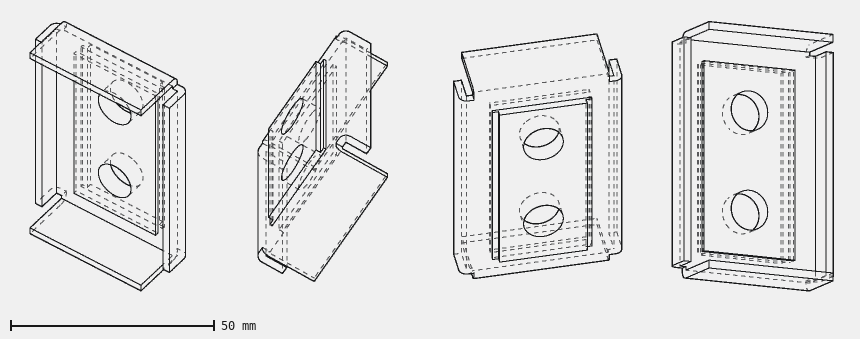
import cadquery as cq

width = 41.0
height = 62.0

thickness = 2.0
bend_radius = thickness
corner_notch = 2.85
side_flange_depth = 8.0
end_flange_depth = 15.0
side_flange_length = height - 2 * corner_notch
end_flange_width = 34.0

pad_width = 25.0
pad_height = 47.8
pad_projection = 2.0
pad_lip = 0.7
pad_front_projection = 1.0
pad_tongue_width = 22.0

hole_diameter = 10.0
hole_spacing = 25.0


def plate(size_x, size_z, back_y, front_y):
    """Centred rectangular block between two Y positions."""
    depth = back_y - front_y
    return cq.Workplane("XY").box(size_x, depth, size_z).translate((0, (back_y + front_y) / 2, 0))


def folded_channel(size_x, size_z, flange_depth, open_along_z):
    """U-channel with sharp inside corners and rounded outer bends."""
    bend_edges = "|Z and >Y" if open_along_z else "|X and >Y"
    outer = plate(size_x, size_z, 0, -flange_depth).edges(bend_edges).fillet(bend_radius)
    cavity_x = size_x - 2 * thickness if open_along_z else size_x
    cavity_z = size_z if open_along_z else size_z - 2 * thickness
    return outer.cut(plate(cavity_x, cavity_z, -thickness, -flange_depth))


def stepped_pad():
    """Block proud of both sheet faces, with a narrower tongue at the back."""
    base = plate(pad_width, pad_height, pad_lip, -thickness - pad_front_projection)
    tongue = plate(pad_tongue_width, pad_height, pad_projection, 0)
    return base.union(tongue)


def hole_cutters():
    """Two cylinders along Y, spaced vertically about the centre."""
    return (
        cq.Workplane("XZ", origin=(0, pad_projection, 0))
        .rarray(0.6, hole_spacing, 1, 2)
        .circle(hole_diameter / 2)
        .extrude(pad_projection + thickness + pad_front_projection)
    )


side_channel = folded_channel(width, side_flange_length, side_flange_depth, True)
end_channel = folded_channel(end_flange_width, height, end_flange_depth, False)
result = side_channel.union(end_channel).union(stepped_pad()).cut(hole_cutters())